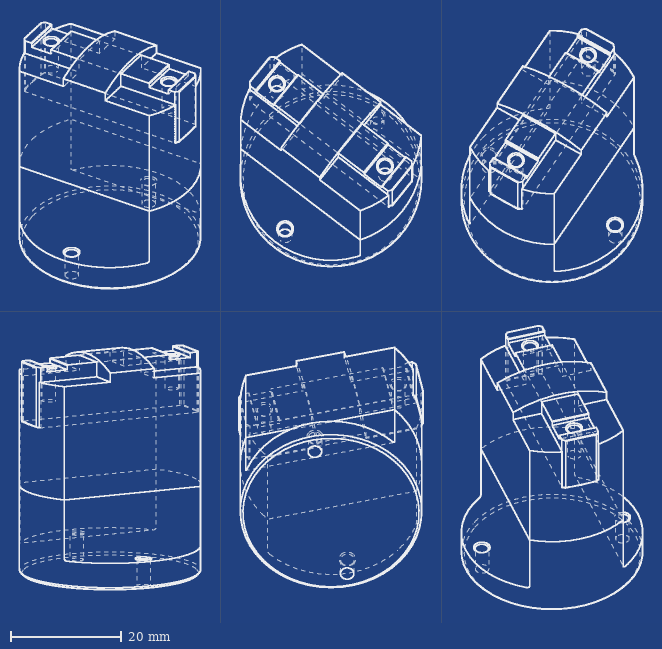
import cadquery as cq

body_diameter = 33.0
body_radius = body_diameter / 2
total_height = 40.9

flange_height = 5.0
foot_chamfer = 0.5
stem_width = 17.95
stem_half_width = stem_width / 2
stem_fillet = 0.5
seam_height = 16.3
flange_hole_offset = 13.45

shoulder_height = 37.28
bridge_width = 8.92
bridge_side_height = 38.95

bar_length = body_diameter
bar_width = 7.05
bar_top = 40.0
bar_height = 11.15
bar_bottom = bar_top - bar_height
bar_corner_chamfer = 0.6
bar_edge_break = 0.1
notch_width = 4.05
notch_depth = 0.9
notch_floor = bar_top - notch_depth
bar_hole_offset = 12.5
bar_hole_depth = 6.15

hole_diameter = 2.45
hole_mouth_diameter = 3.0
hole_mouth_depth = (hole_mouth_diameter - hole_diameter) / 2


def block(length, width, bottom, top, x=0):
    """Box centred on (x, 0) that reaches from bottom to top."""
    return cq.Workplane("XY", origin=(x, 0, bottom)).rect(length, width).extrude(top - bottom)


def screw_hole(x, y, top, depth):
    """Cutter for a vertical hole with a countersunk mouth."""
    bore = cq.Workplane("XY", origin=(x, y, top)).circle(hole_diameter / 2).extrude(-depth)
    mouth = (
        cq.Workplane("XY", origin=(x, y, top))
        .circle(hole_mouth_diameter / 2)
        .workplane(offset=-hole_mouth_depth)
        .circle(hole_diameter / 2)
        .loft()
    )
    return bore.union(mouth)


def make_base():
    """Flange and lower stem, filleted where the stem's flats rise from the flange."""
    profile = (
        cq.Workplane("YZ")
        .moveTo(-body_radius, 0)
        .lineTo(body_radius, 0)
        .lineTo(body_radius, flange_height)
        .lineTo(stem_half_width + stem_fillet, flange_height)
        .radiusArc((stem_half_width, flange_height + stem_fillet), stem_fillet)
        .lineTo(stem_half_width, seam_height)
        .lineTo(-stem_half_width, seam_height)
        .lineTo(-stem_half_width, flange_height + stem_fillet)
        .radiusArc((-stem_half_width - stem_fillet, flange_height), stem_fillet)
        .lineTo(-body_radius, flange_height)
        .close()
        .extrude(body_radius, both=True)
    )
    envelope = cq.Workplane("XY").circle(body_radius).extrude(seam_height)
    envelope = envelope.faces("<Z").chamfer(foot_chamfer)
    base = profile.intersect(envelope)
    for side in (-1, 1):
        base = base.cut(screw_hole(0, side * flange_hole_offset, flange_height, flange_height))
    return base


def make_bar_slot():
    """Cutter for the slot that the bar fills, from one side of the head to the other."""
    return block(bar_length, bar_width, bar_bottom, bar_top)


def make_head():
    """Upper stem with low shoulders on both sides of the arched bridge."""
    profile = (
        cq.Workplane("YZ")
        .moveTo(-stem_half_width, seam_height)
        .lineTo(stem_half_width, seam_height)
        .lineTo(stem_half_width, bridge_side_height)
        .threePointArc((0, total_height), (-stem_half_width, bridge_side_height))
        .close()
        .extrude(body_radius, both=True)
    )
    envelope = cq.Workplane("XY").circle(body_radius).extrude(total_height)
    head = profile.intersect(envelope)

    shoulder_length = body_radius - bridge_width / 2
    shoulder_center = (body_radius + bridge_width / 2) / 2
    for side in (-1, 1):
        above_shoulder = block(
            shoulder_length, body_diameter, shoulder_height, total_height, side * shoulder_center
        )
        head = head.cut(above_shoulder)
    return head.cut(make_bar_slot())


def make_bar():
    """Bar with chamfered corners and a notched seat with a screw hole near each end."""
    bar = block(bar_length, bar_width, bar_bottom, bar_top)
    bar = bar.edges("|Z").chamfer(bar_corner_chamfer)
    for side in (-1, 1):
        x = side * bar_hole_offset
        bar = bar.cut(block(notch_width, bar_width, notch_floor, bar_top, x))
    bar = bar.edges("|Y").edges(">Z or >X or <X").chamfer(bar_edge_break)
    for side in (-1, 1):
        bar = bar.cut(screw_hole(side * bar_hole_offset, 0, notch_floor, bar_hole_depth))
    return bar


base = make_base()
head = make_head()
bar = make_bar()

result = cq.Compound.makeCompound([part.solids().val() for part in (base, head, bar)])